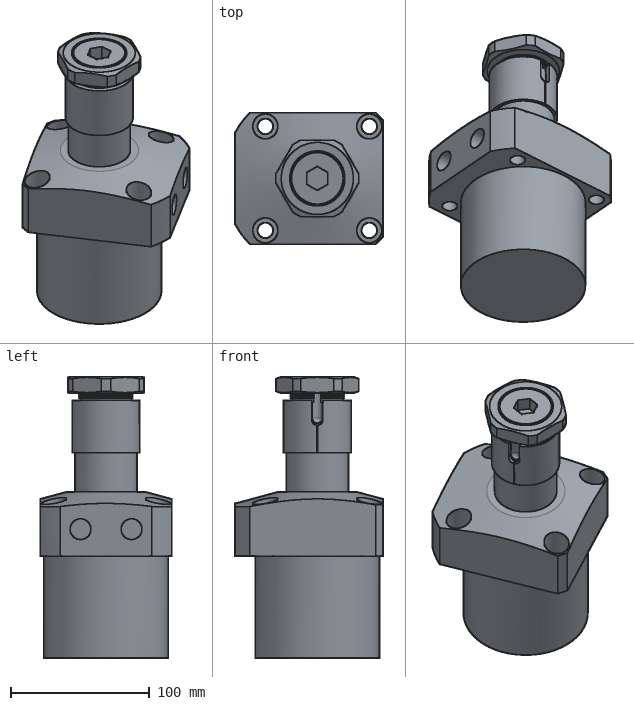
import cadquery as cq
import math

total_height = 203.0
flange_bottom = 73.5
housing_top = 120.0
sleeve_bottom = 148.0
sleeve_top = 186.0
nut_thickness = 12.0
nut_bottom = total_height - nut_thickness

barrel_diameter = 90.0
flange_half_width = 47.5
port_face_reach = 59.5
port_corner_radius = 68.0
corner_chamfer = 5.5
top_flat_diameter = 56.5
top_slope = math.radians(15)

bolt_offset = 37.5
bolt_hole_diameter = 11.0
counterbore_diameter = 18.0
counterbore_floor = 95.0

port_diameter = 15.0
port_depth = 14.0
port_offset = 18.4
port_height = 93.0

rod_diameter = 45.0
rod_depth = 60.0
seat_taper = 0.1
seat_top = sleeve_top - 1.3
relief_diameter = 37.5
thread_diameter = 39.0
thread_start = sleeve_top + 1.3
thread_pitch = 1.5
thread_depth = 0.8
rod_end_chamfer = 0.9
socket_across_flats = 15.0
socket_depth = 10.0
groove_radius = 3.7
groove_offset = 21.4
groove_end_height = 173.2

sleeve_diameter = 49.0
slot_width = 8.0
slot_bottom = 168.0
slit_width = 0.7

nut_across_flats = 55.0
nut_corner_diameter = 60.0
nut_face_diameter = 52.0
nut_chamfer_angle = math.radians(20)
nut_lead_in = 0.4


def cylinder(diameter, bottom, top):
    """Upright cylinder on the rod axis."""
    return cq.Workplane("XY").workplane(offset=bottom).circle(diameter / 2).extrude(top - bottom)


def revolve_profile(points):
    """Solid turned about the rod axis from (radius, height) points."""
    return cq.Workplane("XZ").polyline(points).close().revolve(360, (0, 0, 0), (0, 1, 0))


def seat_cone(top):
    """Tapered seat from the sleeve bottom up to the given height."""
    bottom_radius = rod_diameter / 2
    top_radius = bottom_radius - seat_taper * (top - sleeve_bottom) / 2
    return revolve_profile([
        (0, sleeve_bottom),
        (bottom_radius, sleeve_bottom),
        (top_radius, top),
        (0, top),
    ])


def hexagon_diameter(across_flats):
    """Diameter across the corners of a hexagon."""
    return across_flats / math.cos(math.pi / 6)


def make_flange():
    """Flange plate with two rounded and two chamfered corners, cut off by the cone."""
    corner_x = -math.sqrt(port_corner_radius**2 - flange_half_width**2)
    corner_y = math.sqrt(port_corner_radius**2 - port_face_reach**2)
    middle_angle = (math.atan2(flange_half_width, -corner_x) + math.atan2(corner_y, port_face_reach)) / 2
    middle_x = -port_corner_radius * math.cos(middle_angle)
    middle_y = port_corner_radius * math.sin(middle_angle)
    chamfer_start = flange_half_width - corner_chamfer
    plate = (
        cq.Workplane("XY")
        .workplane(offset=flange_bottom)
        .moveTo(corner_x, -flange_half_width)
        .lineTo(chamfer_start, -flange_half_width)
        .lineTo(flange_half_width, -chamfer_start)
        .lineTo(flange_half_width, chamfer_start)
        .lineTo(chamfer_start, flange_half_width)
        .lineTo(corner_x, flange_half_width)
        .threePointArc((middle_x, middle_y), (-port_face_reach, corner_y))
        .lineTo(-port_face_reach, -corner_y)
        .threePointArc((middle_x, -middle_y), (corner_x, -flange_half_width))
        .close()
        .extrude(housing_top - flange_bottom)
    )
    cone_radius = port_face_reach + flange_half_width
    cone_edge = housing_top - (cone_radius - top_flat_diameter / 2) * math.tan(top_slope)
    cone = revolve_profile([
        (0, flange_bottom),
        (cone_radius, flange_bottom),
        (cone_radius, cone_edge),
        (top_flat_diameter / 2, housing_top),
        (0, housing_top),
    ])
    return plate.intersect(cone)


def make_housing():
    housing = make_flange().union(cylinder(barrel_diameter, 0, flange_bottom))

    bolt_points = [(x, y) for x in (-bolt_offset, bolt_offset) for y in (-bolt_offset, bolt_offset)]
    bolts = cq.Workplane("XY").workplane(offset=flange_bottom).pushPoints(bolt_points)
    housing = housing.cut(bolts.circle(bolt_hole_diameter / 2).extrude(housing_top - flange_bottom))
    counterbores = cq.Workplane("XY").workplane(offset=counterbore_floor).pushPoints(bolt_points)
    housing = housing.cut(counterbores.circle(counterbore_diameter / 2).extrude(housing_top - counterbore_floor))

    ports = (
        cq.Workplane("YZ")
        .workplane(offset=-port_face_reach)
        .pushPoints([(-port_offset, port_height), (port_offset, port_height)])
        .circle(port_diameter / 2)
        .extrude(port_depth)
    )
    housing = housing.cut(ports)

    return housing.cut(cylinder(rod_diameter, housing_top - rod_depth, housing_top))


def make_rod():
    rod = (
        cylinder(rod_diameter, housing_top - rod_depth, sleeve_bottom)
        .union(seat_cone(seat_top))
        .union(cylinder(relief_diameter, seat_top, thread_start))
        .union(cylinder(thread_diameter, thread_start, total_height).faces(">Z").chamfer(rod_end_chamfer))
    )

    groove_count = int((nut_bottom - thread_start) / thread_pitch)
    crest = thread_diameter / 2
    for index in range(groove_count):
        middle = thread_start + (index + 0.5) * thread_pitch
        rod = rod.cut(revolve_profile([
            (crest, middle - thread_pitch / 2),
            (crest - thread_depth, middle),
            (crest, middle + thread_pitch / 2),
        ]))

    socket = (
        cq.Workplane("XY")
        .workplane(offset=total_height - socket_depth)
        .polygon(6, hexagon_diameter(socket_across_flats))
        .extrude(socket_depth)
        .rotate((0, 0, 0), (0, 0, 1), 30)
    )
    rod = rod.cut(socket)

    ball_bottom = groove_end_height - groove_radius
    arc_offset = groove_radius * math.sqrt(0.5)
    groove = (
        cq.Workplane("XZ")
        .moveTo(0, ball_bottom)
        .threePointArc((arc_offset, groove_end_height - arc_offset), (groove_radius, groove_end_height))
        .lineTo(groove_radius, nut_bottom)
        .lineTo(0, nut_bottom)
        .close()
        .revolve(360, (0, 0, 0), (0, 1, 0))
        .translate((0, -groove_offset, 0))
    )
    return rod.cut(groove)


def make_sleeve():
    sleeve = cylinder(sleeve_diameter, sleeve_bottom, sleeve_top)
    sleeve = sleeve.cut(seat_cone(sleeve_top))

    slot_centre = slot_bottom + slot_width / 2
    reach = sleeve_diameter / 2
    slot = (
        cq.Workplane("XZ")
        .moveTo(-slot_width / 2, sleeve_top)
        .lineTo(-slot_width / 2, slot_centre)
        .threePointArc((0, slot_bottom), (slot_width / 2, slot_centre))
        .lineTo(slot_width / 2, sleeve_top)
        .close()
        .extrude(reach)
    )
    slit = (
        cq.Workplane("XY")
        .box(slit_width, reach, slot_centre - sleeve_bottom, centered=(True, False, False))
        .translate((0, -reach, sleeve_bottom))
    )
    return sleeve.cut(slot).cut(slit)


def make_nut():
    hexagon = (
        cq.Workplane("XY")
        .workplane(offset=nut_bottom)
        .polygon(6, hexagon_diameter(nut_across_flats))
        .extrude(nut_thickness)
    )
    face_radius = nut_face_diameter / 2
    corner_radius = nut_corner_diameter / 2
    chamfer_height = (corner_radius - face_radius) * math.tan(nut_chamfer_angle)
    blank = revolve_profile([
        (0, nut_bottom),
        (face_radius, nut_bottom),
        (corner_radius, nut_bottom + chamfer_height),
        (corner_radius, total_height - chamfer_height),
        (face_radius, total_height),
        (0, total_height),
    ])
    bore_radius = thread_diameter / 2
    bore = revolve_profile([
        (0, nut_bottom),
        (bore_radius + nut_lead_in, nut_bottom),
        (bore_radius, nut_bottom + nut_lead_in),
        (bore_radius, total_height - nut_lead_in),
        (bore_radius + nut_lead_in, total_height),
        (0, total_height),
    ])
    return hexagon.intersect(blank).cut(bore)


housing = make_housing()
rod = make_rod()
sleeve = make_sleeve()
nut = make_nut()

result = cq.Compound.makeCompound([housing.val(), rod.val(), sleeve.val(), nut.val()])